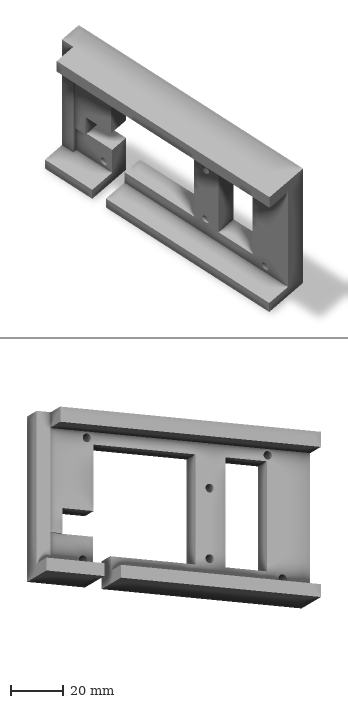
import cadquery as cq

LENGTH = 113.8
DEPTH = 19.9
HEIGHT = 65.4

END_WALL_WIDTH = 5.8
END_WALL_DEPTH = 9.9
PLATE_DEPTH = 8.9
CORNER_PAD_DEPTH = 8.2
TOP_FLANGE_HEIGHT = 6.0
TOP_FLANGE_DEPTH = 19.7
BOTTOM_FLANGE_HEIGHT = 5.1

OPENING_BOTTOM = 11.0
OPENING_TOP = 54.5
MAIN_OPENING_LEFT = 24.0
MAIN_OPENING_RIGHT = 66.2
SIDE_OPENING_LEFT = 78.6
SIDE_OPENING_RIGHT = 95.8

NOTCH_LEFT = 11.1
NOTCH_BOTTOM = 18.2
NOTCH_TOP = 28.2

GAP_WIDTH = 6.9

HOLE_DIAMETER = 3.4
HOLE_CENTRES = [
    (21.2, 56.9),
    (96.2, 56.9),
    (72.1, 41.7),
    (72.1, 13.8),
    (19.9, 8.7),
    (102.4, 8.7),
]


def block(left, right, bottom, top, depth):
    """Box standing forward (-Y) from the rear face at Y = DEPTH."""
    size = (right - left, depth, top - bottom)
    corner = (left, DEPTH - depth, bottom)
    return cq.Workplane("XY").box(*size, centered=False).translate(corner)


def opening(left, right, bottom, top):
    """Rectangular cut through the full depth of the part."""
    return block(left, right, bottom, top, DEPTH)


def screw_holes():
    """Round cuts through the full depth at every screw position."""
    rear_plane = cq.Workplane("XZ", origin=(0, DEPTH, 0))
    return rear_plane.pushPoints(HOLE_CENTRES).circle(HOLE_DIAMETER / 2).extrude(DEPTH)


def frame():
    """Back plate with the end wall and the two flanges."""
    flange_bottom = HEIGHT - TOP_FLANGE_HEIGHT
    plate = block(0, LENGTH, 0, HEIGHT, PLATE_DEPTH)
    end_wall = block(0, END_WALL_WIDTH, 0, HEIGHT, END_WALL_DEPTH)
    top_flange = block(END_WALL_WIDTH, LENGTH, flange_bottom, HEIGHT, TOP_FLANGE_DEPTH)
    bottom_flange = block(0, LENGTH, 0, BOTTOM_FLANGE_HEIGHT, DEPTH)
    return plate.union(end_wall).union(top_flange).union(bottom_flange)


def corner_recess():
    """Shallow step that lowers the plate front below the notch, in the lower left corner."""
    step = PLATE_DEPTH - CORNER_PAD_DEPTH
    recess = block(END_WALL_WIDTH, MAIN_OPENING_LEFT, BOTTOM_FLANGE_HEIGHT, NOTCH_BOTTOM, step)
    return recess.translate((0, -CORNER_PAD_DEPTH, 0))


main_opening = opening(MAIN_OPENING_LEFT, MAIN_OPENING_RIGHT, OPENING_BOTTOM, OPENING_TOP)
side_opening = opening(SIDE_OPENING_LEFT, SIDE_OPENING_RIGHT, OPENING_BOTTOM, OPENING_TOP)
notch = opening(NOTCH_LEFT, MAIN_OPENING_LEFT, NOTCH_BOTTOM, NOTCH_TOP)
rail_gap = opening(MAIN_OPENING_LEFT, MAIN_OPENING_LEFT + GAP_WIDTH, 0, OPENING_BOTTOM)

result = frame()
for cut_shape in (main_opening, side_opening, notch, rail_gap, corner_recess(), screw_holes()):
    result = result.cut(cut_shape)